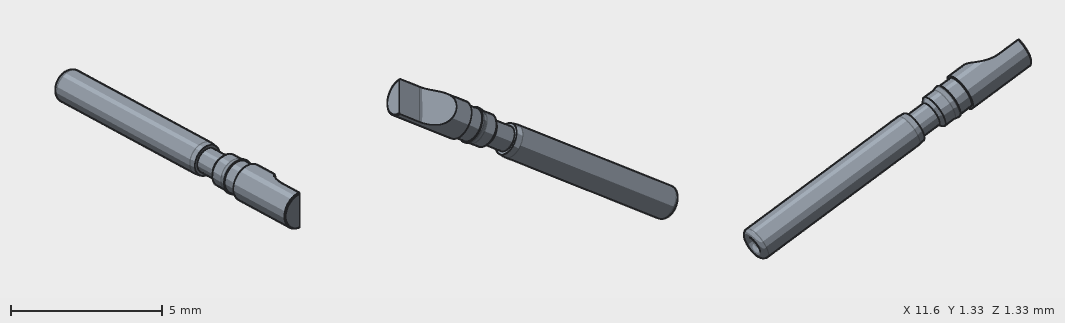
import cadquery as cq
import math

length = 11.55
shank_land_start = 6.75
shank_end = 6.98
collar_start = 7.73
collar_chamfer_end = 7.87
ring_ramp_start = 8.28
ring_start = 8.43
ring_end = 8.49
cup_start = 9.0
cutaway_start = 9.65

shank_radius = 0.583
shank_end_radius = 0.55
neck_radius = 0.445
ring_radius = 0.62
cup_radius = 0.664
cup_chamfer = 0.03

bore_radius = 0.25
lip_radius = (shank_radius - bore_radius) / 2
bore_depth = shank_land_start

cutaway_radius = 1.15


def turned_body():
    """Revolve the half profile, including the fully rounded tip, about X."""
    profile = (
        cq.Workplane("XY")
        .moveTo(bore_depth, 0)
        .lineTo(bore_depth, bore_radius)
        .lineTo(lip_radius, bore_radius)
        .threePointArc((0, bore_radius + lip_radius), (lip_radius, shank_radius))
        .lineTo(shank_land_start, shank_radius)
        .lineTo(shank_end, shank_end_radius)
        .lineTo(shank_end, neck_radius)
        .lineTo(collar_start, neck_radius)
        .lineTo(collar_chamfer_end, shank_radius)
        .lineTo(ring_ramp_start, shank_radius)
        .lineTo(ring_start, ring_radius)
        .lineTo(ring_end, ring_radius)
        .lineTo(ring_end, shank_radius)
        .lineTo(cup_start, shank_radius)
        .lineTo(cup_start, cup_radius)
        .lineTo(length - cup_chamfer, cup_radius)
        .lineTo(length, cup_radius - cup_chamfer)
        .lineTo(length, 0)
        .close()
    )
    return profile.revolve(360, (0, 0, 0), (1, 0, 0))


def half_cutaway():
    """Removes the +Y half of the cup end, with an arc tangent to the flat."""
    rise = cutaway_radius - cup_radius
    arc_end = cutaway_start + math.sqrt(cutaway_radius**2 - rise**2)
    half_angle = math.acos(rise / cutaway_radius) / 2
    arc_middle = (
        arc_end - cutaway_radius * math.sin(half_angle),
        cutaway_radius * (1 - math.cos(half_angle)),
    )
    return (
        cq.Workplane("XY")
        .moveTo(cutaway_start, cup_radius)
        .threePointArc(arc_middle, (arc_end, 0))
        .lineTo(length, 0)
        .lineTo(length, cup_radius)
        .close()
        .extrude(cup_radius, both=True)
    )


result = turned_body().cut(half_cutaway())